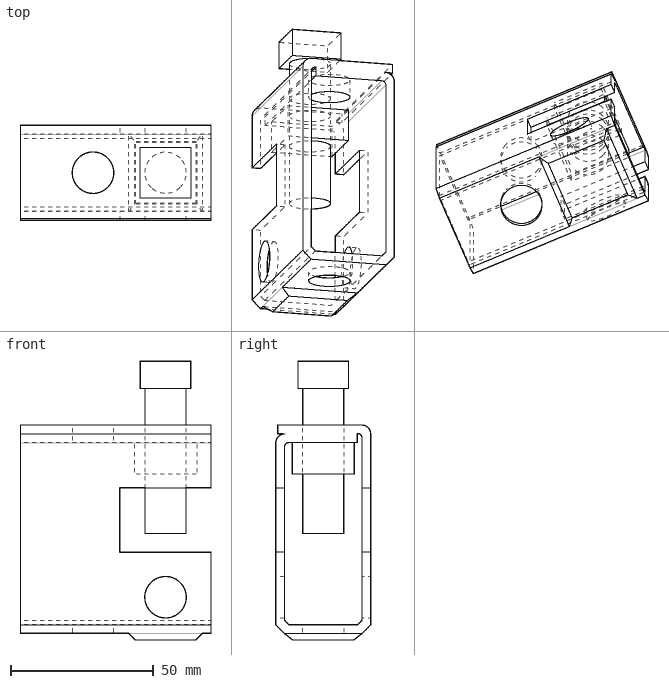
import cadquery as cq

total_height = 97.6
strap_length = 66.7
strap_width = 33.3
thickness = 3.1
strap_bottom = 2.3
strap_top = 75.4

bend_radius = 3.2
inner_bend_radius = 1.5
outer_chamfer = 3.0
inner_chamfer = 1.5
outer_lap_edge = -16.0
inner_lap_edge = 11.9

jaw_back = 34.8
jaw_bottom = 30.85
jaw_top = 53.3
shank_diameter = 14.45
screw_x = 50.8
open_hole_x = 25.4
side_hole_z = 15.0

pad_length = 25.8
pad_tip_length = 21.2
pad_tip_width = 21.3

head_size = 17.8
head_height = 9.6
screw_tip = 37.3
nut_size = 21.9
nut_height = 11.0

half_width = strap_width / 2
inner_half_width = half_width - thickness
lap_plane = strap_top - thickness
ceiling = lap_plane - thickness
floor = strap_bottom + thickness
pad_width = strap_width - 2 * outer_chamfer


def corner_from_wall(sketch, y, z, side, radius):
    """Continue from the wall at side * y, around a quarter circle, to the height z."""
    reach = radius * 0.5 ** 0.5
    middle = (side * (y - radius + reach), z - radius + reach)
    return sketch.threePointArc(middle, (side * (y - radius), z))


def corner_to_wall(sketch, y, z, side, radius):
    """Continue from the height z, around a quarter circle, to the wall at side * y."""
    reach = radius * 0.5 ** 0.5
    middle = (side * (y - radius + reach), z - radius + reach)
    return sketch.threePointArc(middle, (side * y, z - radius))


def strap_profile():
    """Closed band whose two ends lie on top of each other along the upper side."""
    outline = (
        cq.Workplane("YZ")
        .moveTo(outer_lap_edge, strap_top)
        .lineTo(outer_lap_edge, lap_plane)
        .lineTo(-half_width + bend_radius, lap_plane)
    )
    outline = corner_to_wall(outline, half_width, lap_plane, -1, bend_radius)
    outline = (
        outline.lineTo(-half_width, strap_bottom + outer_chamfer)
        .lineTo(-half_width + outer_chamfer, strap_bottom)
        .lineTo(half_width - outer_chamfer, strap_bottom)
        .lineTo(half_width, strap_bottom + outer_chamfer)
        .lineTo(half_width, strap_top - bend_radius)
    )
    return corner_from_wall(outline, half_width, strap_top, 1, bend_radius).close()


def strap_cavity():
    """Inside of the band, stepped where the inner end of the strap stops."""
    outline = (
        cq.Workplane("YZ")
        .moveTo(inner_lap_edge, ceiling)
        .lineTo(inner_lap_edge, lap_plane)
        .lineTo(inner_half_width - inner_bend_radius, lap_plane)
    )
    outline = corner_to_wall(outline, inner_half_width, lap_plane, 1, inner_bend_radius)
    outline = (
        outline.lineTo(inner_half_width, floor + inner_chamfer)
        .lineTo(inner_half_width - inner_chamfer, floor)
        .lineTo(-inner_half_width + inner_chamfer, floor)
        .lineTo(-inner_half_width, floor + inner_chamfer)
        .lineTo(-inner_half_width, ceiling - inner_bend_radius)
    )
    outline = corner_from_wall(outline, inner_half_width, ceiling, -1, inner_bend_radius)
    return outline.close().extrude(strap_length)


def make_pad():
    """Tapered pad below the strap, in line with the screw."""
    return (
        cq.Workplane("XY", origin=(screw_x, 0, 0))
        .rect(pad_tip_length, pad_tip_width)
        .workplane(offset=strap_bottom)
        .rect(pad_length, pad_width)
        .loft(ruled=True)
    )


def make_strap():
    strap = strap_profile().extrude(strap_length).cut(strap_cavity()).union(make_pad())

    jaw = cq.Workplane("XY", origin=(jaw_back, 0, jaw_bottom)).box(
        strap_length - jaw_back, strap_width, jaw_top - jaw_bottom, centered=(False, True, False)
    )

    top_holes = (
        cq.Workplane("XY", origin=(0, 0, ceiling))
        .pushPoints([(open_hole_x, 0), (screw_x, 0)])
        .circle(shank_diameter / 2)
        .extrude(strap_top - ceiling)
    )

    bottom_hole = (
        cq.Workplane("XY", origin=(open_hole_x, 0, strap_bottom))
        .circle(shank_diameter / 2)
        .extrude(thickness)
    )

    cross_hole = (
        cq.Workplane("XZ", origin=(screw_x, half_width, side_hole_z))
        .circle(shank_diameter / 2)
        .extrude(strap_width)
    )
    return strap.cut(jaw).cut(top_holes).cut(bottom_hole).cut(cross_hole)


def make_screw():
    """Square-headed screw with a plain shank."""
    head_bottom = total_height - head_height
    shank = (
        cq.Workplane("XY", origin=(screw_x, 0, screw_tip))
        .circle(shank_diameter / 2)
        .extrude(head_bottom - screw_tip)
    )
    head = (
        cq.Workplane("XY", origin=(screw_x, 0, head_bottom))
        .rect(head_size, head_size)
        .extrude(head_height)
    )
    return shank.union(head)


def make_nut():
    """Square nut seated against the underside of the inner lap."""
    return (
        cq.Workplane("XY", origin=(screw_x, 0, ceiling - nut_height))
        .rect(nut_size, nut_size)
        .circle(shank_diameter / 2)
        .extrude(nut_height)
    )


strap = make_strap()
screw = make_screw()
nut = make_nut()

result = cq.Compound.makeCompound([strap.val(), screw.val(), nut.val()])